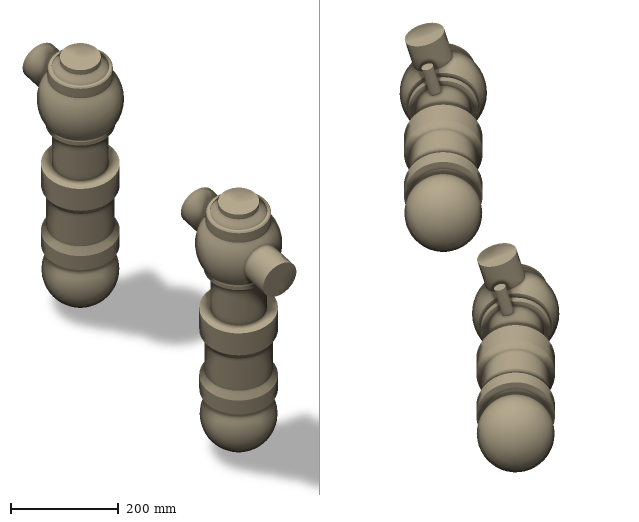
import cadquery as cq


OVERALL_LENGTH = 760.0
TOTAL_HEIGHT = 596.0

BALL_RADIUS = 144.5 / 2
BALL_TOP_Z = 128.0

BARREL_RADIUS = 146.0 / 2
TUBE_RADIUS = 127.0 / 2
NECK_TIP_RADIUS = 45.0
NECK_ROOT_RADIUS = 58.0
LOWER_COLLAR_Z = 134.0
LOWER_COLLAR_HEIGHT = 34.0
UPPER_COLLAR_Z = 280.0
COLLAR_TAPER_HEIGHT = 16.0
BARREL_TOP_Z = 329.0

STEM_RADIUS = 105.0 / 2
BASE_PLATE_HEIGHT = 4.5
FOOT_BEVEL = 1.5
FLANGE_RADIUS = 130.0 / 2
FLANGE_HEIGHT = 6.0
FLANGE_CHAMFER = 1.5
STEM_TOP_Z = 438.0
PIN_RADIUS = 22.0 / 2
PIN_REACH = 110.0
PIN_Z = 413.0

GLOBE_RADIUS = 162.0 / 2
GLOBE_Z = 492.0
GLOBE_BOTTOM_Z = 450.0
COLLAR_RADIUS = 120.0 / 2
PIPE_RADIUS = 76.0 / 2
PIPE_REACH = 130.0
PIPE_Z = 495.0
RIM_Z = TOTAL_HEIGHT - 24.0
RIM_INNER_RADIUS = 53.0
RIM_CHAMFER = 2.0
BOSS_RADIUS = 76.0 / 2
BOSS_HEIGHT = 11.5

ASSEMBLY_SPACING = OVERALL_LENGTH - 2 * PIPE_REACH


def cylinder(radius, bottom, top):
    return cq.Workplane("XY").workplane(offset=bottom).circle(radius).extrude(top - bottom)


def side_cylinder(radius, z, start_x, end_x):
    """Horizontal cylinder along X at height z."""
    return (
        cq.Workplane("YZ", origin=(start_x, 0, z))
        .circle(radius)
        .extrude(end_x - start_x)
    )


def revolve_profile(points):
    """Turn (radius, z) points about the Z axis."""
    return cq.Workplane("XZ").polyline(points).close().revolve(360, (0, 0), (0, 1))


def make_ball():
    ball = cq.Workplane("XY").sphere(BALL_RADIUS).translate((0, 0, BALL_RADIUS))
    return ball.intersect(cylinder(BALL_RADIUS, 0, BALL_TOP_Z))


def make_barrel():
    lower_collar_top = LOWER_COLLAR_Z + LOWER_COLLAR_HEIGHT
    return revolve_profile([
        (0, BALL_TOP_Z),
        (NECK_TIP_RADIUS, BALL_TOP_Z),
        (NECK_ROOT_RADIUS, LOWER_COLLAR_Z),
        (BARREL_RADIUS, LOWER_COLLAR_Z),
        (BARREL_RADIUS, lower_collar_top),
        (TUBE_RADIUS, lower_collar_top + COLLAR_TAPER_HEIGHT),
        (TUBE_RADIUS, UPPER_COLLAR_Z - COLLAR_TAPER_HEIGHT),
        (BARREL_RADIUS, UPPER_COLLAR_Z),
        (BARREL_RADIUS, BARREL_TOP_Z),
        (0, BARREL_TOP_Z),
    ])


def make_stem():
    plate_top = BARREL_TOP_Z + BASE_PLATE_HEIGHT
    tube = revolve_profile([
        (0, BARREL_TOP_Z),
        (BARREL_RADIUS, BARREL_TOP_Z),
        (BARREL_RADIUS, plate_top),
        (STEM_RADIUS + FOOT_BEVEL, plate_top),
        (STEM_RADIUS, plate_top + FOOT_BEVEL),
        (STEM_RADIUS, STEM_TOP_Z),
        (0, STEM_TOP_Z),
    ])
    flange = cylinder(FLANGE_RADIUS, STEM_TOP_Z - FLANGE_HEIGHT, STEM_TOP_Z)
    flange = flange.faces("<Z").chamfer(FLANGE_CHAMFER)
    pin = side_cylinder(PIN_RADIUS, PIN_Z, -PIN_REACH, 0)
    return tube.union(flange).union(pin)


def make_cap():
    """Collar with a raised rim around a 45-degree cone that carries the top boss."""
    cone_top = TOTAL_HEIGHT - BOSS_HEIGHT
    cone_foot = cone_top - (RIM_INNER_RADIUS - BOSS_RADIUS)
    return revolve_profile([
        (0, GLOBE_Z),
        (COLLAR_RADIUS, GLOBE_Z),
        (COLLAR_RADIUS, RIM_Z - RIM_CHAMFER),
        (COLLAR_RADIUS - RIM_CHAMFER, RIM_Z),
        (RIM_INNER_RADIUS, RIM_Z),
        (RIM_INNER_RADIUS, cone_foot),
        (BOSS_RADIUS, cone_top),
        (BOSS_RADIUS, TOTAL_HEIGHT),
        (0, TOTAL_HEIGHT),
    ])


def make_head(pipe_directions):
    globe = cq.Workplane("XY").sphere(GLOBE_RADIUS).translate((0, 0, GLOBE_Z))
    globe = globe.intersect(cylinder(GLOBE_RADIUS, GLOBE_BOTTOM_Z, TOTAL_HEIGHT))
    lower_collar = cylinder(COLLAR_RADIUS, STEM_TOP_Z, GLOBE_Z)
    flange = cylinder(FLANGE_RADIUS, STEM_TOP_Z, STEM_TOP_Z + FLANGE_HEIGHT)
    flange = flange.faces(">Z").chamfer(FLANGE_CHAMFER)
    head = globe.union(lower_collar).union(flange).union(make_cap())
    for direction in pipe_directions:
        head = head.union(side_cylinder(PIPE_RADIUS, PIPE_Z, 0, direction * PIPE_REACH))
    return head


bodies = []
for x, pipe_directions in [(0, [-1]), (ASSEMBLY_SPACING, [-1, 1])]:
    for body in [make_ball(), make_barrel(), make_stem(), make_head(pipe_directions)]:
        bodies.append(body.translate((x, 0, 0)).val())

result = cq.Compound.makeCompound(bodies)